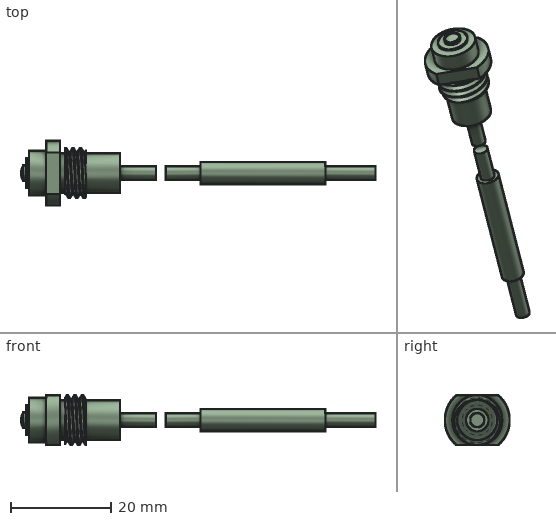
import cadquery as cq
import math


dome_height = 0.45
collar_x = 1.0
collar_length = 0.3
head_x = 1.6
flange_x = 5.0
flange_length = 2.8
thread_start_x = 8.75
thread_length = 4.25
barrel_end_x = 19.8
lead_end_x = 27.0

dome_base_radius = 1.45
plunger_radius = 1.6
collar_radius = 3.0
head_radius = 4.5
flange_radius = 6.5
across_flats = 10.0
barrel_radius = 4.0
wire_radius = 1.4

thread_pitch = 1.5
thread_crest_radius = 5.0
thread_root_radius = 4.1
crest_width = 0.2
root_width = 0.2
thread_crest_lead = 0.15
thread_overrun_turns = 1
root_embed = 0.2

cable_start_x = 28.9
sleeve_start_x = 35.8
sleeve_length = 25.0
cable_end_x = 70.8
sleeve_radius = 2.25


def rod(start_x, end_x, radius):
    """Solid cylinder along X between two stations."""
    return cq.Workplane("YZ").workplane(offset=start_x).circle(radius).extrude(end_x - start_x)


def make_plunger():
    """Domed plunger with a flat shoulder, running into the head."""
    dome_radius = (dome_base_radius**2 + dome_height**2) / (2 * dome_height)
    half_angle = math.asin(dome_base_radius / dome_radius) / 2
    dome_mid = (dome_radius * (1 - math.cos(half_angle)), dome_radius * math.sin(half_angle))
    return (
        cq.Workplane("XY")
        .moveTo(0, 0)
        .threePointArc(dome_mid, (dome_height, dome_base_radius))
        .lineTo(dome_height, plunger_radius)
        .lineTo(head_x, plunger_radius)
        .lineTo(head_x, 0)
        .close()
        .revolve(360, (0, 0, 0), (1, 0, 0))
    )


def make_flange():
    """Round flange with two flats facing +Z and -Z."""
    disc = rod(flange_x, flange_x + flange_length, flange_radius)
    flats = (
        cq.Workplane("YZ")
        .workplane(offset=flange_x)
        .rect(2 * flange_radius, across_flats)
        .extrude(flange_length)
    )
    return disc.intersect(flats)


def make_thread():
    """Right-handed thread on its core, cut off flat at both ends."""
    thread_end_x = thread_start_x + thread_length
    core = rod(thread_start_x, thread_end_x, thread_root_radius)

    turns = math.ceil(thread_length / thread_pitch) + 2 * thread_overrun_turns
    half_crest = crest_width / 2
    base_radius = thread_root_radius - root_embed
    half_root = (thread_pitch - root_width) / 2
    helix = cq.Wire.makeHelix(thread_pitch, turns * thread_pitch, thread_root_radius)
    ridge = (
        cq.Workplane("XZ")
        .polyline([
            (base_radius, -half_root),
            (thread_root_radius, -half_root),
            (thread_crest_radius, -half_crest),
            (thread_crest_radius, half_crest),
            (thread_root_radius, half_root),
            (base_radius, half_root),
        ])
        .close()
        .sweep(cq.Workplane(helix), isFrenet=True)
    )
    first_crest_x = thread_start_x + thread_crest_lead - thread_overrun_turns * thread_pitch
    ridge = (
        ridge.rotate((0, 0, 0), (1, 1, 1), 360 / 3)
        .translate((first_crest_x, 0, 0))
    )
    envelope = rod(thread_start_x, thread_end_x, flange_radius)
    return core.union(ridge.intersect(envelope))


def make_probe():
    """Probe with plunger, collar, head, flange, thread, barrel and wire lead."""
    return (
        rod(head_x, flange_x, head_radius)
        .union(make_plunger())
        .union(rod(collar_x, collar_x + collar_length, collar_radius))
        .union(make_flange())
        .union(rod(flange_x, barrel_end_x, barrel_radius))
        .union(make_thread())
        .union(rod(barrel_end_x, lead_end_x, wire_radius))
    )


def make_cable():
    """Separate length of wire with a thicker sleeve around its middle."""
    wire = rod(cable_start_x, cable_end_x, wire_radius)
    return wire.union(rod(sleeve_start_x, sleeve_start_x + sleeve_length, sleeve_radius))


probe = make_probe()
cable = make_cable()
result = cq.Compound.makeCompound([*probe.solids().vals(), *cable.solids().vals()])